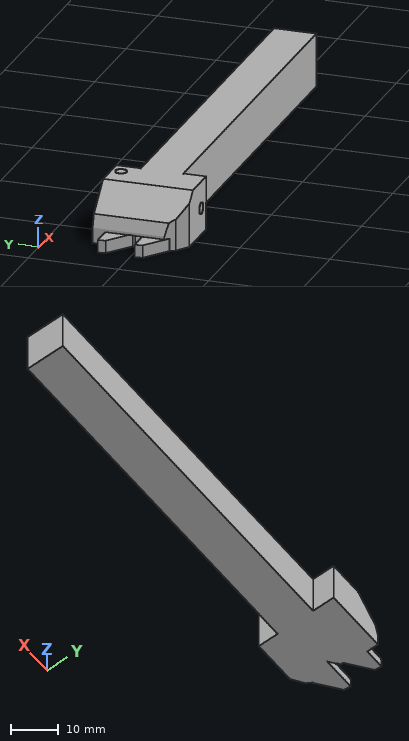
import cadquery as cq

LENGTH = 105.0
HEAD_WIDTH = 20.0
HEIGHT = 12.0
HALF_HEAD = HEAD_WIDTH / 2

SHANK_WIDTH = 9.5
SHANK_CENTRE_Y = -0.2

HEAD_FRONT_X = 4.8
HEAD_BACK_X = 20.0
LIP_BOTTOM_Z = 3.5
LIP_TOP_X = 5.7
LIP_TOP_Z = 6.3
SLOPE_TOP_X = 11.5

CORNER_START_Y = -6.0
CORNER_ARC_MID = (5.7, -6.7)
CORNER_ARC_END = (6.4, -8.0)
CORNER_END_X = 9.3

TOOTH_HEIGHT = 2.8
TOOTH_PITCH = 8.2
FIRST_TOOTH_Y = 7.1
TOOTH_COUNT = 2
TIP_WIDTH = 1.7
TIP_SETBACK = 0.2
FLANK_SLOPE = 0.75
TOOTH_ROOT_X = 5.7
FLANK_DROP = FLANK_SLOPE * (TOOTH_ROOT_X - TIP_SETBACK)

GULLET_FLAT = 0.6

MARK_DIAMETER = 2.5
MARK_DEPTH = 0.1
MARK_X = 17.0
TOP_MARK_Y = 7.9
SIDE_MARK_Z = 5.9


def prism(points, height):
    return cq.Workplane("XY").polyline(points).close().extrude(height)


def make_head():
    profile = (
        cq.Workplane("XZ")
        .polyline([
            (HEAD_FRONT_X, 0),
            (HEAD_BACK_X, 0),
            (HEAD_BACK_X, HEIGHT),
            (SLOPE_TOP_X, HEIGHT),
            (LIP_TOP_X, LIP_TOP_Z),
            (HEAD_FRONT_X, LIP_BOTTOM_Z),
        ])
        .close()
        .extrude(HALF_HEAD, both=True)
    )
    plan = (
        cq.Workplane("XY")
        .moveTo(HEAD_FRONT_X, HALF_HEAD)
        .lineTo(HEAD_FRONT_X, CORNER_START_Y)
        .threePointArc(CORNER_ARC_MID, CORNER_ARC_END)
        .lineTo(CORNER_END_X, -HALF_HEAD)
        .lineTo(HEAD_BACK_X, -HALF_HEAD)
        .lineTo(HEAD_BACK_X, HALF_HEAD)
        .close()
        .extrude(HEIGHT)
    )
    return profile.intersect(plan)


def make_shank():
    return cq.Workplane("XY").box(
        LENGTH - HEAD_BACK_X, SHANK_WIDTH, HEIGHT, centered=(False, True, False)
    ).translate((HEAD_BACK_X, SHANK_CENTRE_Y, 0))


def make_tooth(top_y):
    tip_y = top_y - TIP_WIDTH
    return prism([
        (0, top_y),
        (TIP_SETBACK, tip_y),
        (TOOTH_ROOT_X, tip_y - FLANK_DROP),
        (TOOTH_ROOT_X, top_y),
    ], TOOTH_HEIGHT)


def make_gullet():
    start_y = FIRST_TOOTH_Y - TIP_WIDTH - FLANK_DROP
    flat_end_y = start_y - GULLET_FLAT
    end_y = FIRST_TOOTH_Y - TOOTH_PITCH
    end_x = TOOTH_ROOT_X + (flat_end_y - end_y) / FLANK_SLOPE
    flank_front_y = start_y + FLANK_SLOPE * (TOOTH_ROOT_X - HEAD_FRONT_X)
    return prism([
        (HEAD_FRONT_X, flank_front_y),
        (TOOTH_ROOT_X, start_y),
        (TOOTH_ROOT_X, flat_end_y),
        (end_x, end_y),
        (HEAD_FRONT_X, end_y),
    ], TOOTH_HEIGHT)


def make_marks():
    radius = MARK_DIAMETER / 2
    top_mark = (
        cq.Workplane("XY", origin=(MARK_X, TOP_MARK_Y, HEIGHT))
        .circle(radius)
        .extrude(-MARK_DEPTH)
    )
    side_mark = (
        cq.Workplane("XZ", origin=(MARK_X, -HALF_HEAD, SIDE_MARK_Z))
        .circle(radius)
        .extrude(-MARK_DEPTH)
    )
    return top_mark.union(side_mark)


result = make_head().union(make_shank()).cut(make_gullet())
for index in range(TOOTH_COUNT):
    result = result.union(make_tooth(FIRST_TOOTH_Y - index * TOOTH_PITCH))
result = result.cut(make_marks())